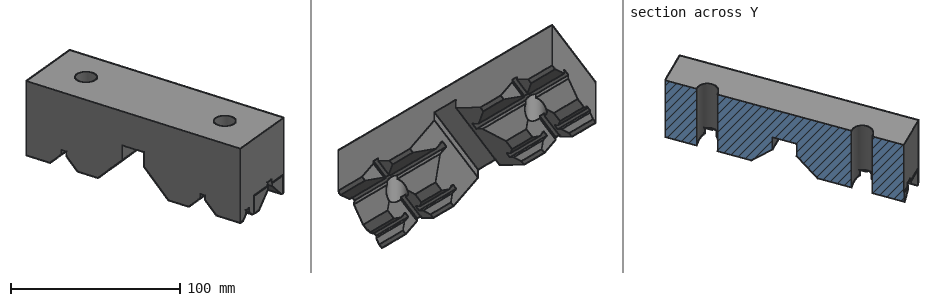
import cadquery as cq

overall_length = 152.4
width = 46.5
height = 50.0
pad_thickness = 0.5
body_length = overall_length - pad_thickness

pad_height = 12.0
pad_width = 30.8
pad_center_y = 6.5

main_groove = (25.0, 7.6, 27.1)
side_groove = (9.8, 1.7, 11.1)

large_end_groove = (12.0, 2.1, 14.3)
large_end_groove_y = 8.1
small_end_groove = (4.9, 1.7, 6.0)
small_end_groove_y = -15.4

hole_spacing = 98.5
hole_diameter = 13.1
hole_y = 0.5


def vee_groove(plane, center, sizes):
    """45-degree vee with a square relief slot, cut right through along the plane normal."""
    mouth, slot, depth = sizes
    shoulder = mouth - slot
    outline = [
        (center - mouth, 0),
        (center - slot, shoulder),
        (center - slot, depth),
        (center + slot, depth),
        (center + slot, shoulder),
        (center + mouth, 0),
    ]
    return cq.Workplane(plane).polyline(outline).close().extrude(overall_length, both=True)


body = cq.Workplane("XY").box(body_length, width, height, centered=(True, True, False))
pad = (
    cq.Workplane("XY")
    .box(pad_thickness, pad_width, pad_height, centered=(False, True, False))
    .translate((body_length / 2, pad_center_y, 0))
)
result = body.union(pad)

result = result.cut(vee_groove("XZ", 0, main_groove))
for side in (-1, 1):
    result = result.cut(vee_groove("XZ", side * hole_spacing / 2, side_groove))

result = result.cut(vee_groove("YZ", large_end_groove_y, large_end_groove))
result = result.cut(vee_groove("YZ", small_end_groove_y, small_end_groove))

hole_centers = [(-hole_spacing / 2, hole_y), (hole_spacing / 2, hole_y)]
holes = cq.Workplane("XY").pushPoints(hole_centers).circle(hole_diameter / 2).extrude(height)
result = result.cut(holes)